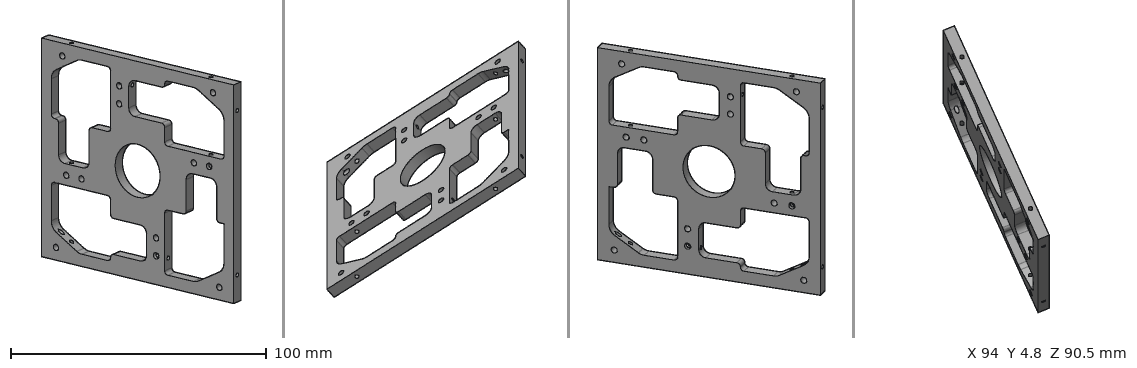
import cadquery as cq
import math

plate_width = 94.0
plate_thickness = 4.8
plate_height = 90.5
bore_diameter = 21.9

window_inner = 13.3
window_outer_x = 42.2
window_outer_z = 40.1
bevel_length = 13.6
bevel_angle = 30.0

leg_width = 14.85
leg_end_offset = 4.3
side_leg_center_z = 29.6
upright_leg_center_x = 31.2

bevel_radius = 5.0
leg_end_radius = 3.0
corner_radius = 1.5

screw_diameter = 2.5
screw_pair_spacing = 7.4
screw_pair_offset = 9.0
corner_screw_z = 39.95
top_screw_x = 36.85
bottom_screw_x = 39.95

edge_hole_diameter = 1.6
edge_hole_offset = 34.0


def plate_sketch():
    """Sketch plane on the back face of the plate; extruding by the thickness reaches the front face."""
    return cq.Workplane("XZ", origin=(0, plate_thickness / 2, 0))


def rounded_prism(corners):
    """Extrude a closed outline of (x, z, radius) corners right through the plate."""
    outline = plate_sketch()
    count = len(corners)
    for i in range(count):
        x, z, radius = corners[i]
        before = corners[i - 1]
        after = corners[(i + 1) % count]
        to_before = cq.Vector(before[0] - x, before[1] - z).normalized()
        to_after = cq.Vector(after[0] - x, after[1] - z).normalized()
        corner = cq.Vector(x, z)
        half_angle = to_before.getAngle(to_after) / 2
        tangent_length = radius / math.tan(half_angle)
        bisector = (to_before + to_after).normalized()
        start = corner + to_before * tangent_length
        middle = corner + bisector * (radius / math.sin(half_angle) - radius)
        end = corner + to_after * tangent_length
        if i == 0:
            outline = outline.moveTo(start.x, start.y)
        else:
            outline = outline.lineTo(start.x, start.y)
        if radius > 0:
            outline = outline.threePointArc((middle.x, middle.y), (end.x, end.y))
    return outline.close().extrude(plate_thickness)


def bevel_corners():
    """The two ends of the bevel at the upper right, from the side edge to the top edge."""
    bevel_drop = bevel_length * math.tan(math.radians(bevel_angle))
    return [
        (window_outer_x, window_outer_z - bevel_drop, bevel_radius),
        (window_outer_x - bevel_length, window_outer_z, bevel_radius),
    ]


def side_leg_window():
    """Upper right window, with a leg reaching left across the vertical centre line."""
    leg_low = side_leg_center_z - leg_width / 2
    leg_high = side_leg_center_z + leg_width / 2
    return rounded_prism([
        (window_inner, window_inner, corner_radius),
        (window_outer_x, window_inner, corner_radius),
        *bevel_corners(),
        (window_inner, window_outer_z, corner_radius),
        (window_inner, leg_high, corner_radius),
        (-leg_end_offset, leg_high, leg_end_radius),
        (-leg_end_offset, leg_low, leg_end_radius),
        (window_inner, leg_low, corner_radius),
    ])


def upright_leg_window(outer_corner_radius):
    """Window with a leg reaching down across the horizontal centre line, placed at the upper right."""
    leg_inner = upright_leg_center_x - leg_width / 2
    leg_outer = upright_leg_center_x + leg_width / 2
    return rounded_prism([
        (window_inner, window_inner, corner_radius),
        (leg_inner, window_inner, corner_radius),
        (leg_inner, -leg_end_offset, leg_end_radius),
        (leg_outer, -leg_end_offset, leg_end_radius),
        (leg_outer, window_inner, corner_radius),
        (window_outer_x, window_inner, outer_corner_radius),
        *bevel_corners(),
        (window_inner, window_outer_z, corner_radius),
    ])


def half_turn(body):
    return body.rotate((0, 0, 0), (0, 1, 0), 180)


def holes_through_thickness(points, diameter):
    return plate_sketch().pushPoints(points).circle(diameter / 2).extrude(plate_thickness)


result = cq.Workplane("XY").box(plate_width, plate_thickness, plate_height)
result = result.cut(holes_through_thickness([(0, 0)], bore_diameter))

result = result.cut(side_leg_window())
result = result.cut(half_turn(side_leg_window()))

result = result.cut(upright_leg_window(corner_radius).mirror("YZ"))
result = result.cut(upright_leg_window(0).mirror("XY"))

screw_points = []
for step in (-screw_pair_spacing / 2, screw_pair_spacing / 2):
    for side in (-1, 1):
        screw_points.append((-side * screw_pair_offset, side * (side_leg_center_z + step)))
        screw_points.append((side * (upright_leg_center_x + step), side * screw_pair_offset))

for side in (-1, 1):
    screw_points.append((side * top_screw_x, corner_screw_z))
    screw_points.append((side * bottom_screw_x, -corner_screw_z))
result = result.cut(holes_through_thickness(screw_points, screw_diameter))

for position in (-edge_hole_offset, edge_hole_offset):
    left_edge = cq.Workplane("YZ", origin=(-plate_width / 2, 0, position))
    bottom_edge = cq.Workplane("XY", origin=(position, 0, -plate_height / 2))
    result = result.cut(left_edge.circle(edge_hole_diameter / 2).extrude(plate_width))
    result = result.cut(bottom_edge.circle(edge_hole_diameter / 2).extrude(plate_height))